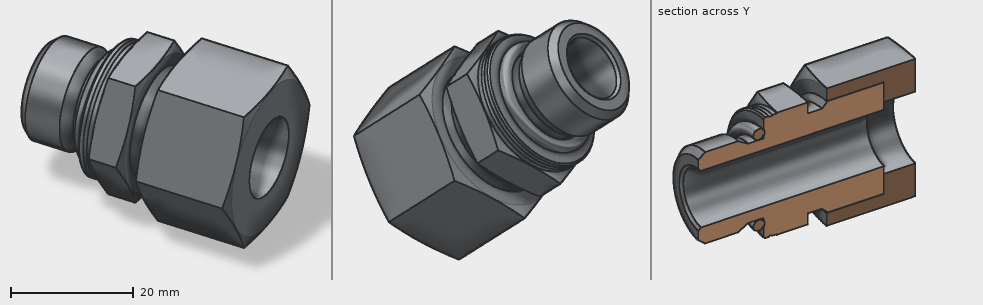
import cadquery as cq
import math


stud_radius = 9.0
stud_chamfer_length = 1.3
stud_face_radius = 7.9
stud_thread_end = 7.6
neck_start = 9.5
neck_radius = 7.85

collar_start = 12.45
collar_radius = 11.9
collar_chamfer = 0.3
groove_start = 13.45
groove_end = 14.15
groove_depth = 0.2

hex_start = 15.0
hex_end = 21.0
hex_across_flats = 24.0
hex_face_radius = 11.9

shank_radius = 9.85
shank_end = 23.6
coupling_radius = 11.0
coupling_end = 35.5
coupling_thread_start = shank_end + coupling_radius - shank_radius

bore_radius = 5.5
bore_chamfer = 0.5

ring_outer_radius = 10.0
ring_section_radius = (ring_outer_radius - neck_radius) / 2
ring_center_radius = neck_radius + ring_section_radius
ring_center_x = 11.57

nut_start = 24.5
nut_end = 41.5
nut_across_flats = 27.0
nut_face_radius = 13.4
tube_hole_radius = 7.0

hex_chamfer_angle = 15.0


def revolve_about_x(profile):
    """Revolve a closed profile of (x, radius) points about the X axis."""
    return cq.Workplane("XY").polyline(profile).close().revolve(360, (0, 0, 0), (1, 0, 0))


def chamfered_hexagon(start, end, across_flats, face_radius):
    """Hexagonal prism along X with flats facing +Z and -Z and both ends turned to a cone."""
    corner_radius = across_flats / math.sqrt(3)
    chamfer_length = (corner_radius - face_radius) * math.tan(math.radians(hex_chamfer_angle))
    prism = (
        cq.Workplane("YZ", origin=(start, 0, 0))
        .polygon(6, 2 * corner_radius)
        .extrude(end - start)
    )
    turned_envelope = revolve_about_x([
        (start, 0),
        (start, face_radius),
        (start + chamfer_length, corner_radius),
        (end - chamfer_length, corner_radius),
        (end, face_radius),
        (end, 0),
    ])
    return prism.intersect(turned_envelope)


def make_sealing_ring():
    """Round-section ring that sits on the neck and partly in the collar face."""
    return (
        cq.Workplane("XY")
        .moveTo(ring_center_x, ring_center_radius)
        .circle(ring_section_radius)
        .revolve(360, (0, 0, 0), (1, 0, 0))
    )


def make_collar_groove():
    """Ring-shaped cutter for the shallow round-bottomed groove around the collar."""
    return (
        cq.Workplane("XY")
        .moveTo(groove_start, collar_radius)
        .threePointArc(
            ((groove_start + groove_end) / 2, collar_radius - groove_depth),
            (groove_end, collar_radius),
        )
        .close()
        .revolve(360, (0, 0, 0), (1, 0, 0))
    )


def make_body(sealing_ring):
    """Hollow fitting body with a seat cut for the sealing ring."""
    stud_and_collar = revolve_about_x([
        (0, 0),
        (0, stud_face_radius),
        (stud_chamfer_length, stud_radius),
        (stud_thread_end, stud_radius),
        (neck_start, neck_radius),
        (collar_start, neck_radius),
        (collar_start, collar_radius - collar_chamfer),
        (collar_start + collar_chamfer, collar_radius),
        (hex_start, collar_radius),
        (hex_start, 0),
    ])
    hexagon = chamfered_hexagon(hex_start, hex_end, hex_across_flats, hex_face_radius)
    coupling = revolve_about_x([
        (hex_end, 0),
        (hex_end, shank_radius),
        (shank_end, shank_radius),
        (coupling_thread_start, coupling_radius),
        (coupling_end, coupling_radius),
        (coupling_end, 0),
    ])
    bore = revolve_about_x([
        (0, 0),
        (0, bore_radius + bore_chamfer),
        (bore_chamfer, bore_radius),
        (coupling_end, bore_radius),
        (coupling_end, 0),
    ])
    blank = stud_and_collar.cut(make_collar_groove()).union(hexagon).union(coupling)
    return blank.cut(bore).cut(sealing_ring).solids()


def make_nut():
    """Hexagon nut whose stepped hole takes the coupling thread and then the tube."""
    blank = chamfered_hexagon(nut_start, nut_end, nut_across_flats, nut_face_radius)
    stepped_hole = revolve_about_x([
        (nut_start, 0),
        (nut_start, coupling_radius),
        (coupling_end, coupling_radius),
        (coupling_end, tube_hole_radius),
        (nut_end, tube_hole_radius),
        (nut_end, 0),
    ])
    return blank.cut(stepped_hole).solids()


sealing_ring = make_sealing_ring()
body = make_body(sealing_ring)
nut = make_nut()

result = cq.Compound.makeCompound([body.val(), sealing_ring.val(), nut.val()])